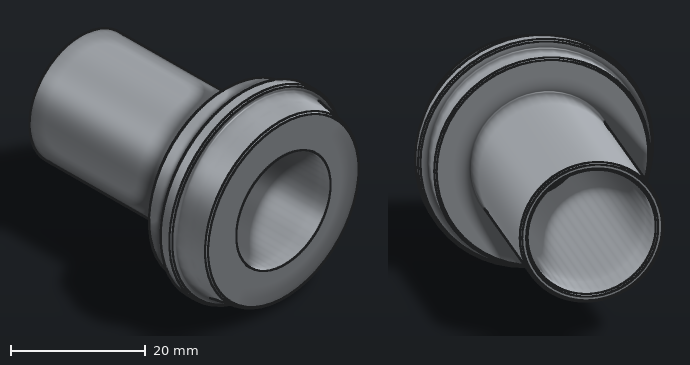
import cadquery as cq
import math

total_length = 43.0
bore_radius = 19.6 / 2
tube_radius = 22.0 / 2
collar_radius = 33.0 / 2
flange_radius = 36.0 / 2
collar_start = 31.0
flange_start = 35.0
flange_end = 37.45
cone_end_radius = 15.95
cone_half_angle = 9.5

edge_break = 0.3
root_radius = 0.4

cone_length = total_length - flange_end
cone_root_radius = cone_end_radius + cone_length * math.tan(math.radians(cone_half_angle))


def turned_section(start, end, start_radius, end_radius):
    """Solid of revolution about X whose radius varies linearly along its length."""
    return (
        cq.Workplane("XY")
        .moveTo(start, 0)
        .lineTo(start, start_radius)
        .lineTo(end, end_radius)
        .lineTo(end, 0)
        .close()
        .revolve(360, (0, 0, 0), (1, 0, 0))
    )


def circles_at(x, radius):
    """Selector for the circular edge of the given radius at position x."""
    tolerance = 0.02
    reach = radius + tolerance
    lower = (x - tolerance, -reach, -reach)
    upper = (x + tolerance, reach, reach)
    inner = radius - tolerance
    inner_lower = (x - tolerance, -inner, -inner)
    inner_upper = (x + tolerance, inner, inner)
    return cq.selectors.SubtractSelector(
        cq.selectors.BoxSelector(lower, upper, boundingbox=True),
        cq.selectors.BoxSelector(inner_lower, inner_upper, boundingbox=True),
    )


body = turned_section(0, collar_start, tube_radius, tube_radius)
body = body.union(turned_section(collar_start, flange_start, collar_radius, collar_radius))
body = body.union(turned_section(flange_start, flange_end, flange_radius, flange_radius))
body = body.union(turned_section(flange_end, total_length, cone_root_radius, cone_end_radius))

root_corners = [
    (collar_start, tube_radius),
    (flange_start, collar_radius),
    (flange_end, cone_root_radius),
]
for x, radius in root_corners:
    body = body.edges(circles_at(x, radius)).fillet(root_radius)

outer_corners = [
    (0, tube_radius),
    (collar_start, collar_radius),
    (flange_start, flange_radius),
    (flange_end, flange_radius),
    (total_length, cone_end_radius),
]
for x, radius in outer_corners:
    body = body.edges(circles_at(x, radius)).chamfer(edge_break)

bore = turned_section(0, total_length, bore_radius, bore_radius)
body = body.cut(bore)

result = body.edges(circles_at(0, bore_radius)).chamfer(edge_break)